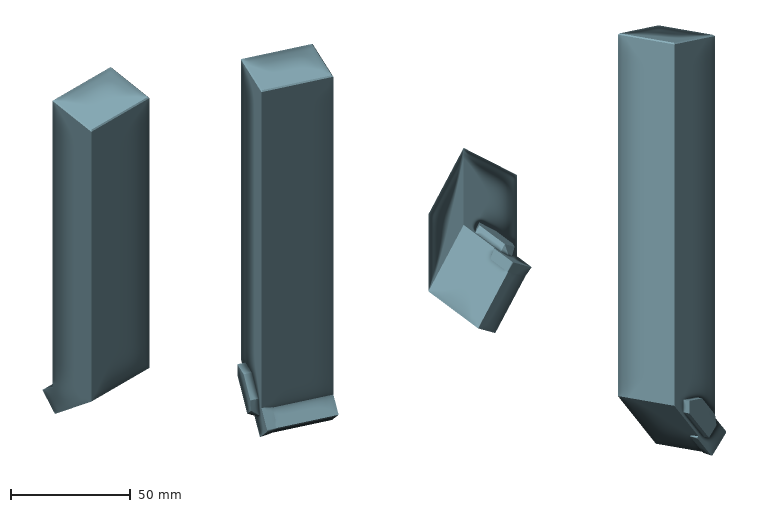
import cadquery as cq
import math

shank_width = 25.0
shank_depth = 32.0
total_height = 178.6
top_chamfer = 0.5

head_elbow_z = 15.0
head_corner_x = -6.5
head_corner_z = 9.0
head_tip_x = 1.6
head_tip_z = 0.9
shank_heel_z = 24.5

insert_side = 12.9
insert_corner_radius = 0.7
insert_thickness = 4.8
insert_relief_angle = 7.0
insert_overhang = 7.0
insert_half_span = insert_side / math.sqrt(2) - insert_corner_radius * (math.sqrt(2) - 1)
insert_center_x = insert_half_span - insert_overhang
insert_center_z = insert_half_span

clamp_height = 3.5
clamp_right_x = 19.5
clamp_top_z = 26.3
clamp_top_left_x = 11.8
clamp_shoulder_x = 3.8
clamp_shoulder_z = clamp_top_z - (clamp_top_left_x - clamp_shoulder_x)
clamp_nose_x = 2.3
clamp_nose_z = 10.5
clamp_bottom_z = 9.0
clamp_bottom_left_x = clamp_nose_x + (clamp_nose_z - clamp_bottom_z)
clamp_bottom_right_x = 7.5
clamp_right_low_z = clamp_bottom_z + (clamp_right_x - clamp_bottom_right_x)
nose_bevel_setback = 2.5


def plane_at_y(y):
    """XZ plane at the given Y, with its normal toward -Y."""
    return cq.Workplane("XZ", origin=(0, y, 0))


def make_shank():
    outline = [
        (0, total_height),
        (0, head_elbow_z),
        (head_corner_x, head_corner_z),
        (head_tip_x, head_tip_z),
        (shank_width, shank_heel_z),
        (shank_width, total_height),
    ]
    bar = plane_at_y(0).polyline(outline).close().extrude(-shank_depth)
    return bar.faces(">Z").chamfer(top_chamfer)


def make_nose_bevel():
    """Wedge that leans the clamp's lower-left face back toward its top."""
    face_length = 4 * clamp_height
    nose_frame = cq.Plane(
        origin=(clamp_nose_x, shank_depth, clamp_nose_z),
        xDir=(1, 0, 1),
        normal=(-1, 0, 1),
    )
    wedge = [(0, 0), (0, clamp_height), (nose_bevel_setback, clamp_height)]
    return cq.Workplane(nose_frame).polyline(wedge).close().extrude(face_length, both=True)


def make_clamp():
    outline = [
        (clamp_top_left_x, clamp_top_z),
        (clamp_shoulder_x, clamp_shoulder_z),
        (clamp_nose_x, clamp_nose_z),
        (clamp_bottom_left_x, clamp_bottom_z),
        (clamp_bottom_right_x, clamp_bottom_z),
        (clamp_right_x, clamp_right_low_z),
        (clamp_right_x, clamp_top_z),
    ]
    pad = plane_at_y(shank_depth).polyline(outline).close().extrude(-clamp_height)
    return pad.cut(make_nose_bevel())


def make_insert():
    outline = (
        cq.Sketch()
        .rect(insert_side, insert_side, angle=45)
        .vertices()
        .fillet(insert_corner_radius)
    )
    return (
        plane_at_y(shank_depth)
        .center(insert_center_x, insert_center_z)
        .placeSketch(outline)
        .extrude(insert_thickness, taper=insert_relief_angle)
    )


insert = make_insert()
holder = make_shank().union(make_clamp()).cut(insert)

result = cq.Compound.makeCompound([holder.solids().val(), insert.val()])